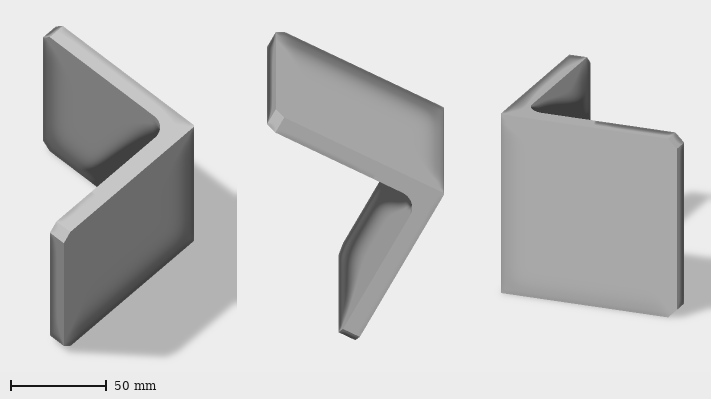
import cadquery as cq

side = 100.0
thickness = 10.0
inner_radius = 10.0
outer_radius = 1.0
corner_chamfer = 5.0


def leg(length_x, length_y):
    """Upright plate sharing the outer corner of the angle at +X, +Y."""
    return (
        cq.Workplane("XY")
        .box(length_x, length_y, side, centered=False)
        .translate((side - length_x, side - length_y, 0))
    )


angle = leg(side, thickness).union(leg(thickness, side))
inner_corner = side - thickness
corner_point = (inner_corner, inner_corner, side / 2)
angle = angle.edges(cq.selectors.NearestToPointSelector(corner_point)).fillet(inner_radius)

angle = angle.edges("|Z and >X and >Y").fillet(outer_radius)

angle = angle.faces("<X").edges("|Y").chamfer(corner_chamfer)
angle = angle.faces("<Y").edges("|X").chamfer(corner_chamfer)

result = angle